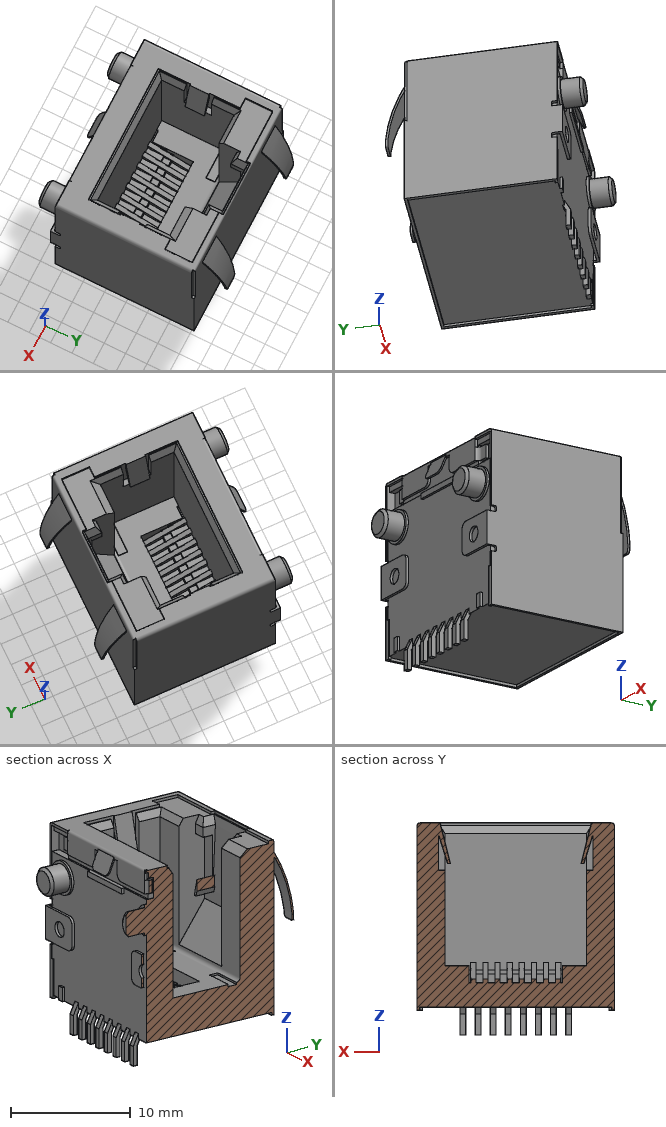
import cadquery as cq


width, depth, height = 16.5, 13.01, 15.65
sheet = 0.25
half_width = width / 2
inner_half = half_width - sheet
inner_back = depth - sheet
inner_top = height - sheet
side_fold, back_fold = 0.3, 0.18
seam_bottom = 8.78
lip_top, lip_width = 3.53, 0.48

window_half, window_front, window_back = 6.44, 2.2, 9.85
wide_half, wide_back = 7.43, 12.41
key_window_half, key_window_back = 2.52, 12.8
cavity_half, cavity_front, cavity_back = 5.9, 2.78, 9.55
lead_in, lead_in_height = 0.45, 0.64
deep_lead_in = 0.75
floor_z, floor_radius = 3.72, 0.37

latch_half, latch_front, latch_back = 3.12, 9.18, 11.6
latch_wall, ramp_top = 12.16, 7.8
catch_half, catch_mouth_half = 2.0, 2.46
catch_bottom, catch_taper, catch_taper_height = 13.78, 0.37, 0.75
channel_back, channel_rim, channel_flare_z = 12.48, 12.65, 14.63
channel_foot, channel_foot_z, channel_bottom = 12.27, 9.88, 8.86

well_half, well_back, well_depth = 3.88, 6.77, 1.42
mid_step_back, mid_step_depth = 4.98, 0.71
comb_back, comb_depth = 4.3, 0.35
groove_half, groove_width, groove_depth = 5.0, 0.15, 0.18
pad_front, pad_depth = 8.35, 0.18
contact_count = 8
contact_pitch, contact_width, contact_thickness = 1.01, 0.45, 0.25

finger_front, finger_back = 5.2, 7.0
finger_tip_x, finger_tip_z, finger_overhang = 5.45, 12.23, 0.12
relief_front, relief_back, relief_bottom = 4.9, 7.45, 11.7

face_y = 0.07
housing_bottom = 0.25
raised = 0.15
ledge_z, corner_recess_top, corner_recess_depth = 13.07, 14.9, 0.71
corner_recess_inner = 5.83
bar_half, bar_height = 2.52, 0.5
foot_inner, foot_outer, foot_top = 6.19, 6.74, 1.5
peg_x, peg_z, peg_radius, collar_radius = 6.31, 11.25, 1.24, 1.49
peg_reach, peg_chamfer = 2.0, 0.25

flap_half, flap_bottom, flap_corner, flap_fold = 5.67, 13.53, 0.6, 0.23
flap_cut_half, tongue_half = 1.63, 1.17
tongue_length, tongue_thickness, tongue_corner, tongue_angle = 1.79, 0.15, 0.53, 23.0
wing_bend, wing_outer, wing_top = 0.4, foot_outer, 14.73

tab_inner, tab_bottom, tab_top, tab_corner = 4.36, 5.27, 8.28, 0.6
tab_front = 0.45
tab_hole_x, tab_hole_diameter = 6.17, 1.35
relief_slot_height, relief_slot_depth, relief_slot_corner = 0.53, 0.5, 0.18

pin_count, pin_pitch, pin_width, pin_thickness = 8, 1.25, 0.5, 0.4
pin_end, pin_bend, pin_root = -2.07, -0.3, 0.75
pin_front = -0.45

spring_x, spring_root_half, spring_tip_half = 5.43, 1.31, 0.67
spring_root_z, spring_bend_z, spring_tip_z = 14.93, 8.69, 8.05
spring_reach = 15.02
spring_bow_y, spring_bow_z = 14.29, 11.91
spring_tip_corner, spring_thickness, spring_root_height = 0.32, 0.21, 0.43

MIRROR = (-1, 1)


def block(x0, x1, y0, y1, z0, z1):
    """Box between two limits on each axis."""
    return cq.Workplane("XY").box(x1 - x0, y1 - y0, z1 - z0, centered=False).translate((x0, y0, z0))


def sided(side, x0, x1, y0, y1, z0, z1):
    """Box given by distances from the middle plane, on the -X or +X side."""
    left, right = sorted((side * x0, side * x1))
    return block(left, right, y0, y1, z0, z1)


def extrude_x(points, x0, x1):
    """Closed YZ outline swept from x0 to x1."""
    return cq.Workplane("YZ").polyline(points).close().extrude(x1 - x0).translate((x0, 0, 0))


def extrude_y(points, y0, y1):
    """Closed XZ outline swept from y0 to y1."""
    return cq.Workplane("XZ").polyline(points).close().extrude(y0 - y1).translate((0, y0, 0))


def rectangle_wire(x0, x1, y0, y1, z):
    """Rectangle at one height, as a section for a loft."""
    corners = [(x0, y0, z), (x1, y0, z), (x1, y1, z), (x0, y1, z)]
    return cq.Wire.makePolygon([cq.Vector(*corner) for corner in corners], close=True)


def make_shield():
    """Folded can, open at the front and bottom."""
    can = block(-half_width, half_width, 0, inner_back, 0, height)
    can = can.edges(">Z and |Y").fillet(side_fold)
    back = block(-inner_half, inner_half, inner_back, depth, 0, height)
    can = can.union(back.edges(">Z and >Y").fillet(back_fold))
    can = can.union(block(-half_width, half_width, inner_back, depth, 0, seam_bottom))
    can = can.cut(block(-inner_half, inner_half, 0, inner_back, 0, inner_top))
    can = can.cut(block(-window_half, window_half, window_front, window_back, inner_top, height))
    can = can.cut(block(-wide_half, wide_half, window_back, wide_back, inner_top, height))
    can = can.cut(block(-key_window_half, key_window_half, wide_back, key_window_back, inner_top, height))
    can = can.cut(block(-flap_half, flap_half, 0, sheet, inner_top, height))
    for side in MIRROR:
        can = can.union(sided(side, half_width - lip_width, half_width, 0, sheet, 0, lip_top))
    return can


def make_flap():
    """Front flap folded down from the top plate, split by the tongue, with wings bent inward."""
    flap = cq.Workplane("XY")
    for side in MIRROR:
        half = sided(side, flap_cut_half, flap_half, 0, sheet, flap_bottom, height)
        flap = flap.add(half.edges("|Y and <Z").edges("<X" if side > 0 else ">X").fillet(flap_corner))
    flap = flap.combine()
    flap = flap.union(block(-flap_cut_half, flap_cut_half, 0, sheet, inner_top - back_fold, height))
    flap = flap.edges(">Z and <Y").fillet(flap_fold)

    tongue = block(-tongue_half, tongue_half, 0, tongue_thickness, -tongue_length, 0)
    tongue = tongue.edges("<Z and |Y").fillet(tongue_corner)
    tongue = tongue.rotate((0, 0, 0), (1, 0, 0), -tongue_angle).translate((0, 0, inner_top))
    flap = flap.union(tongue)

    wing_y = sheet + wing_bend
    for side in MIRROR:
        wing = sided(side, flap_half, wing_outer, 0, wing_y, flap_bottom, wing_top)
        hollow = sided(side, flap_half + wing_bend, wing_outer, 0, wing_bend, flap_bottom, wing_top)
        bend = (
            cq.Workplane("XY", origin=(side * (flap_half + wing_bend), 0, flap_bottom))
            .circle(wing_bend).extrude(wing_top - flap_bottom)
        )
        flap = flap.union(wing.cut(hollow).cut(bend))
    return flap


def make_solder_tab(side):
    """Drilled tab folded in across the mounting face from the side wall."""
    wall = sided(side, inner_half, half_width, -tab_front, 0, tab_bottom, tab_top)
    tab = sided(side, tab_inner, half_width, -tab_front, sheet - tab_front, tab_bottom, tab_top)
    tab = tab.edges("|Y").edges("<X" if side > 0 else ">X").fillet(tab_corner)
    hole = (
        cq.Workplane("XZ", origin=(side * tab_hole_x, 0, (tab_bottom + tab_top) / 2))
        .circle(tab_hole_diameter / 2).extrude(tab_front)
    )
    return tab.cut(hole).union(wall)


def make_relief_slots(side):
    """Slots in the side wall above and below a solder tab."""
    slots = cq.Workplane("XY")
    for bottom in (tab_bottom - relief_slot_height, tab_top):
        slot = sided(side, inner_half, half_width, 0, relief_slot_depth, bottom, bottom + relief_slot_height)
        slots = slots.add(slot.edges("|X and >Y").fillet(relief_slot_corner))
    return slots.combine()


def make_rear_spring(side):
    """Bowed ground spring behind the can, tapering to its tip."""
    bow = (
        cq.Workplane("YZ")
        .moveTo(inner_back, spring_root_z)
        .threePointArc((spring_bow_y, spring_bow_z), (spring_reach, spring_bend_z))
        .lineTo(spring_reach, spring_tip_z)
        .lineTo(spring_reach - spring_thickness, spring_tip_z)
        .lineTo(spring_reach - spring_thickness, spring_bend_z)
        .threePointArc(
            (spring_bow_y - spring_thickness, spring_bow_z),
            (inner_back, spring_root_z - spring_root_height))
        .close()
        .extrude(spring_root_half, both=True)
    )
    outline = extrude_y(
        [(-spring_root_half, spring_root_z), (spring_root_half, spring_root_z),
         (spring_tip_half, spring_tip_z), (-spring_tip_half, spring_tip_z)],
        inner_back, spring_reach)
    outline = outline.edges("<Z and |Y").fillet(spring_tip_corner)
    return bow.intersect(outline).translate((side * spring_x, 0, 0))


def make_mouth():
    """Plug cavity with its sloping lead-in; the lead-in is deeper beside the latch on +X."""
    mouth = block(-cavity_half, cavity_half, cavity_front, cavity_back, floor_z, inner_top)
    mouth = mouth.edges("|X and >Y and <Z").fillet(floor_radius)
    for x0, x1, back_lead in ((-cavity_half, 0, lead_in), (0, cavity_half, deep_lead_in)):
        rim_x0 = x0 - lead_in if x0 < 0 else x0
        rim_x1 = x1 + lead_in if x1 > 0 else x1
        funnel = cq.Solid.makeLoft([
            rectangle_wire(x0, x1, cavity_front, cavity_back, inner_top - lead_in_height),
            rectangle_wire(rim_x0, rim_x1, cavity_front - lead_in, cavity_back + back_lead, inner_top),
        ], True)
        mouth = mouth.union(cq.Workplane(funnel))
    return mouth


def make_latch_slot():
    """Latch slot with a catch on each side, an undercut below and a ramp down to the floor."""
    slot = extrude_x(
        [(latch_front, floor_z), (latch_wall, ramp_top), (latch_wall, catch_bottom),
         (latch_back - catch_taper, catch_bottom), (latch_back - catch_taper, inner_top - catch_taper_height),
         (latch_back, inner_top), (latch_front, inner_top)],
        -latch_half, latch_half)
    channel_outline = [(latch_front, channel_bottom), (latch_wall, channel_bottom),
                       (channel_foot, channel_foot_z), (channel_back, channel_flare_z),
                       (channel_rim, inner_top), (latch_front, inner_top)]
    channel = extrude_x(channel_outline, -catch_half, catch_half)
    flare = extrude_y(
        [(-catch_mouth_half, inner_top), (catch_mouth_half, inner_top),
         (catch_half, inner_top - catch_taper_height), (-catch_half, inner_top - catch_taper_height)],
        latch_front, channel_rim)
    flare = flare.intersect(extrude_x(channel_outline, -catch_mouth_half, catch_mouth_half))
    return slot.union(channel).union(flare)


def make_contact_well():
    """Stepped well in the cavity floor below the contacts, with its groove and rear pads."""
    well = block(-well_half, well_half, cavity_front, well_back, floor_z - comb_depth, floor_z)
    well = well.union(
        block(-well_half, well_half, comb_back, well_back, floor_z - mid_step_depth, floor_z))
    well = well.union(
        block(-well_half, well_half, mid_step_back, well_back, floor_z - well_depth, floor_z))
    well = well.union(
        block(-groove_half, groove_half, cavity_front, cavity_front + groove_width,
              floor_z - groove_depth, floor_z))
    for side in MIRROR:
        well = well.union(
            sided(side, latch_half, cavity_half, pad_front, latch_front, floor_z - pad_depth, floor_z))
    return well


def make_housing():
    """Moulded insert filling the can."""
    housing = block(-inner_half, inner_half, face_y, inner_back, housing_bottom, inner_top)
    housing = housing.cut(block(-inner_half, inner_half, face_y, sheet, ledge_z, inner_top))
    for side in MIRROR:
        housing = housing.cut(
            sided(side, corner_recess_inner, inner_half, face_y, face_y + corner_recess_depth,
                  ledge_z, corner_recess_top))
        housing = housing.cut(
            sided(side, flap_half, corner_recess_inner, face_y, face_y + corner_recess_depth,
                  flap_bottom, wing_top))
        housing = housing.cut(
            sided(side, cavity_half, window_half, relief_front, relief_back, relief_bottom, inner_top))
        foot = sided(side, foot_inner, foot_outer, -raised, face_y, housing_bottom, foot_top)
        housing = housing.union(foot)
        base = cq.Workplane("XZ", origin=(side * peg_x, face_y, peg_z))
        peg = base.circle(peg_radius).extrude(peg_reach + face_y).faces("<Y").chamfer(peg_chamfer)
        housing = housing.union(base.circle(collar_radius).extrude(raised + face_y)).union(peg)
    housing = housing.union(block(-bar_half, bar_half, -raised, sheet, ledge_z - bar_height, ledge_z))
    return housing.cut(make_mouth()).cut(make_latch_slot()).cut(make_contact_well())


def make_side_finger(side):
    """Shield finger leaning into the cavity from the edge of the top plate."""
    top_x = window_half + sheet
    outline = [(side * (window_half - finger_overhang), height), (side * top_x, height),
               (side * top_x, inner_top), (side * (finger_tip_x + sheet), finger_tip_z),
               (side * finger_tip_x, finger_tip_z)]
    return extrude_y(outline, finger_front, finger_back)


def make_contact(x):
    """Contact wire rising from the bottom of the well to the front wall of the cavity."""
    low, high = floor_z - well_depth, floor_z
    outline = [(well_back, low - contact_thickness), (well_back, low + contact_thickness),
               (cavity_front, high + contact_thickness), (cavity_front, high - contact_thickness)]
    return extrude_x(outline, x - contact_width / 2, x + contact_width / 2)


def make_pin(x):
    """Solder pin leaving the mounting face at a slant and turning straight down."""
    pin_back = pin_front + pin_thickness
    outline = [(face_y, pin_root), (pin_front, pin_bend), (pin_front, pin_end),
               (pin_back, pin_end), (pin_back, pin_bend), (face_y + pin_thickness, pin_root)]
    return extrude_x(outline, x - pin_width / 2, x + pin_width / 2)


def row(count, pitch):
    """Centred row of X positions."""
    return [(index - (count - 1) / 2) * pitch for index in range(count)]


result = make_shield().union(make_flap()).union(make_housing())
for side in MIRROR:
    result = result.union(make_solder_tab(side)).cut(make_relief_slots(side))
    result = result.union(make_rear_spring(side)).union(make_side_finger(side))
for x in row(contact_count, contact_pitch):
    result = result.union(make_contact(x))
for x in row(pin_count, pin_pitch):
    result = result.union(make_pin(x))